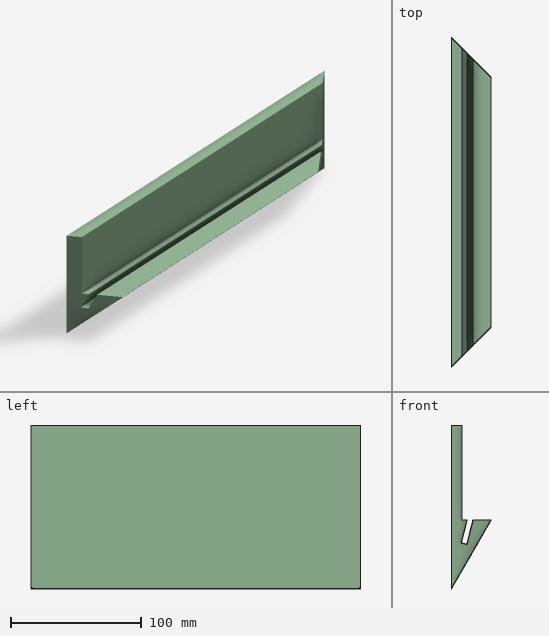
import cadquery as cq
import math

length = 252.0
height = 125.0
depth = 30.5
plate_thickness = 8.3
wedge_angle = 30.0
miter_angle = 45.0
slot_angle = 14.0
slot_width = 4.3
slot_depth = 18.1
slot_offset = 12.0

shelf_height = depth / math.tan(math.radians(wedge_angle))
miter_length = depth * math.tan(math.radians(miter_angle))


def make_body():
    """Upright plate with a wedge-shaped foot, extruded along Y."""
    outline = [
        (0, 0),
        (depth, shelf_height),
        (plate_thickness, shelf_height),
        (plate_thickness, height),
        (0, height),
    ]
    return cq.Workplane("XZ").polyline(outline).close().extrude(length / 2, both=True)


def make_slot():
    """Leaning square-bottomed slot, open through the shelf."""
    overshoot = slot_width
    return (
        cq.Workplane("XZ")
        .center(slot_offset, shelf_height)
        .transformed(rotate=(0, 0, -slot_angle))
        .moveTo(0, -slot_depth)
        .lineTo(slot_width, -slot_depth)
        .lineTo(slot_width, overshoot)
        .lineTo(0, overshoot)
        .close()
        .extrude(length / 2, both=True)
    )


def make_miter_envelope():
    """Trapezoid in plan that trims both ends to the miter angle."""
    half_length = length / 2
    front_half_length = half_length - miter_length
    plan = [
        (0, -half_length),
        (depth, -front_half_length),
        (depth, front_half_length),
        (0, half_length),
    ]
    return cq.Workplane("XY").polyline(plan).close().extrude(height)


result = make_body().cut(make_slot()).intersect(make_miter_envelope())